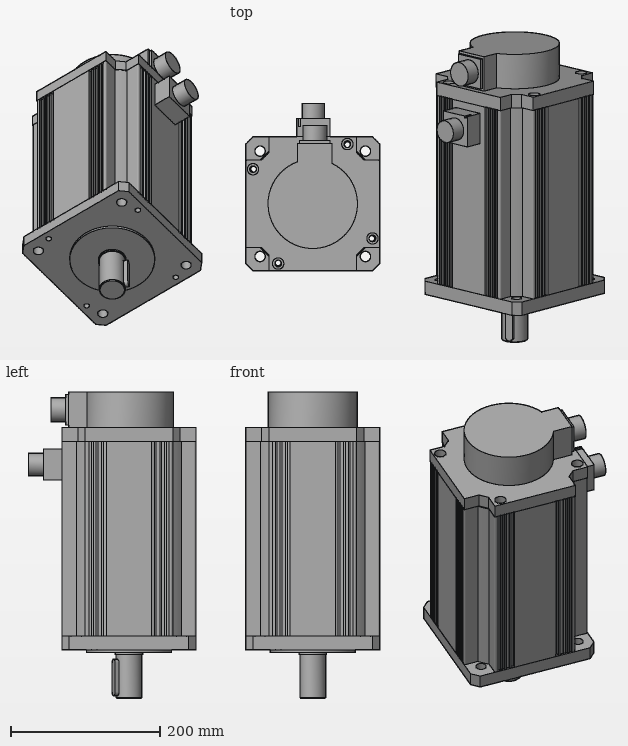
import cadquery as cq
import math


OVERALL_LENGTH = 411.0
FRAME_WIDTH = 180.0
HALF_WIDTH = FRAME_WIDTH / 2

SHAFT_REACH = 65.0
FLANGE_THICKNESS = 18.5
REAR_PLATE_THICKNESS = 18.5
COVER_HEIGHT = 47.5
COVER_TOP = OVERALL_LENGTH - SHAFT_REACH
REAR_PLATE_TOP = COVER_TOP - COVER_HEIGHT
HOUSING_TOP = REAR_PLATE_TOP - REAR_PLATE_THICKNESS
HOUSING_LENGTH = HOUSING_TOP - FLANGE_THICKNESS

CORNER_CHAMFER = 10.0
MOUNTING_HOLE_DIAMETER = 13.5
MOUNTING_HOLE_OFFSET = 70.5
PILOT_DIAMETER = 114.3
PILOT_HEIGHT = 3.5

NOTCH_INNER = 58.8
REAR_NOTCH_CHAMFER = 10.0
HOUSING_CORE_RADIUS = 91.5
NOTCH_EDGE_FILLET = 2.5

PANEL_GROOVE = (30.5, 34.0)
PANEL_GROOVE_DEPTH = 5.0
COOLING_GROOVES = [(36.5, 41.5), (44.0, 47.5), (50.0, 54.0)]
GROOVE_DEPTH = 3.0

SCREW_ALONG_SIDE = 46.5
REAR_SCREW_OFFSET = 80.0
FRONT_SCREW_OFFSET = 79.5
REAR_SCREW_DIAMETER = 9.0
FRONT_SCREW_DIAMETER = 7.5
SCREW_HEAD_DIAMETER = 15.2
SCREW_HEAD_DEPTH = 10.5

COVER_RADIUS = 60.0
COVER_NECK_WIDTH = 46.0
COVER_NECK_END = 81.0
ENCODER_CONNECTOR_X = 3.0
ENCODER_CONNECTOR_Z = REAR_PLATE_TOP + COVER_HEIGHT / 2
ENCODER_FOOT_SIZE = 41.0
ENCODER_FOOT_THICKNESS = 4.0
ENCODER_PLUG_DIAMETER = 32.5
ENCODER_PLUG_END = 105.0

POWER_CONNECTOR_X = 1.0
POWER_CONNECTOR_Z = 248.5
POWER_BOX_WIDTH = 45.0
POWER_BOX_HEIGHT = 42.0
POWER_BOX_DEPTH = 24.5
POWER_PLUG_DIAMETER = 30.5
POWER_PLUG_END = 135.0
POWER_SLOT_WIDTH = 3.0
POWER_SLOT_LENGTH = 10.5
POWER_SLOT_DEPTH = 2.5
POWER_SLOT_INSET = 2.5

SHAFT_DIAMETER = 35.0
SHAFT_CHAMFER = 1.2
COLLAR_DIAMETER = 37.5
COLLAR_BOTTOM = -6.0
KEY_WIDTH = 10.3
KEY_TOP_Z = -12.5
KEY_BOTTOM_Z = -61.5
KEY_INNER_RADIUS = 12.7
KEY_OUTER_RADIUS = 22.5
KEY_ANGLE = 24.0


def square_prism(bottom, height):
    """Square block of the frame width, centred on the shaft axis."""
    return cq.Workplane("XY").workplane(offset=bottom).rect(FRAME_WIDTH, FRAME_WIDTH).extrude(height)


def screw_holes(offset, diameter, bottom, top):
    """Four vertical cylinders, turned by a quarter about the shaft axis from one to the next."""
    radius = math.hypot(SCREW_ALONG_SIDE, offset)
    first_angle = math.degrees(math.atan2(offset, SCREW_ALONG_SIDE))
    return (
        cq.Workplane("XY")
        .workplane(offset=bottom)
        .polarArray(radius, first_angle, 360, 4)
        .circle(diameter / 2)
        .extrude(top - bottom)
    )


def corner_notches(bottom, height):
    """Four square columns that cover the corners outside the notch walls."""
    notch_size = HALF_WIDTH - NOTCH_INNER
    spacing = HALF_WIDTH + NOTCH_INNER
    return (
        cq.Workplane("XY")
        .workplane(offset=bottom)
        .rarray(spacing, spacing, 2, 2)
        .rect(notch_size, notch_size)
        .extrude(height)
    )


def make_flange():
    spacing = 2 * MOUNTING_HOLE_OFFSET
    flange = square_prism(0, FLANGE_THICKNESS).edges("|Z").chamfer(CORNER_CHAMFER)
    pilot = (
        cq.Workplane("XY").workplane(offset=-PILOT_HEIGHT).circle(PILOT_DIAMETER / 2).extrude(PILOT_HEIGHT)
    )
    mounting_holes = (
        cq.Workplane("XY")
        .rarray(spacing, spacing, 2, 2)
        .circle(MOUNTING_HOLE_DIAMETER / 2)
        .extrude(FLANGE_THICKNESS)
    )
    screws = screw_holes(FRONT_SCREW_OFFSET, FRONT_SCREW_DIAMETER, 0, FLANGE_THICKNESS)
    return flange.union(pilot).cut(mounting_holes).cut(screws)


def groove_pair(inner, outer, depth):
    """Two vertical grooves in the +Y side, mirrored about its middle."""
    return (
        cq.Workplane("XY")
        .workplane(offset=FLANGE_THICKNESS)
        .center(0, HALF_WIDTH - depth / 2)
        .rarray(inner + outer, 4, 2, 1)
        .rect(outer - inner, depth)
        .extrude(HOUSING_LENGTH)
    )


def side_grooves():
    """All the grooves of the +Y side."""
    grooves = groove_pair(*PANEL_GROOVE, PANEL_GROOVE_DEPTH)
    for inner, outer in COOLING_GROOVES:
        grooves = grooves.union(groove_pair(inner, outer, GROOVE_DEPTH))
    return grooves


def make_housing():
    block = square_prism(FLANGE_THICKNESS, HOUSING_LENGTH)
    housing = block.cut(corner_notches(FLANGE_THICKNESS, HOUSING_LENGTH))
    for side in (">X", "<X", ">Y", "<Y"):
        housing = housing.edges(f"|Z and {side}").fillet(NOTCH_EDGE_FILLET)
    grooves = side_grooves()
    for quarter in range(4):
        housing = housing.cut(grooves.rotate((0, 0, 0), (0, 0, 1), 90 * quarter))
    core = (
        cq.Workplane("XY")
        .workplane(offset=FLANGE_THICKNESS)
        .circle(HOUSING_CORE_RADIUS)
        .extrude(HOUSING_LENGTH)
        .intersect(block)
    )
    screws = screw_holes(FRONT_SCREW_OFFSET, FRONT_SCREW_DIAMETER, FLANGE_THICKNESS, HOUSING_TOP)
    return housing.union(core).cut(screws)


def make_rear_plate():
    plate = square_prism(HOUSING_TOP, REAR_PLATE_THICKNESS)
    notches = corner_notches(HOUSING_TOP, REAR_PLATE_THICKNESS)
    fill_reach = 2 * NOTCH_INNER + REAR_NOTCH_CHAMFER
    diamond = (
        cq.Workplane("XY")
        .workplane(offset=HOUSING_TOP)
        .polyline([(fill_reach, 0), (0, fill_reach), (-fill_reach, 0), (0, -fill_reach)])
        .close()
        .extrude(REAR_PLATE_THICKNESS)
    )
    screws = screw_holes(REAR_SCREW_OFFSET, REAR_SCREW_DIAMETER, HOUSING_TOP, REAR_PLATE_TOP)
    head_floor = REAR_PLATE_TOP - SCREW_HEAD_DEPTH
    heads = screw_holes(REAR_SCREW_OFFSET, SCREW_HEAD_DIAMETER, head_floor, REAR_PLATE_TOP)
    return plate.cut(notches.cut(diamond)).cut(screws).cut(heads)


def make_encoder_cover():
    base = cq.Workplane("XY").workplane(offset=REAR_PLATE_TOP)
    drum = base.circle(COVER_RADIUS).extrude(COVER_HEIGHT)
    neck = (
        base.center(ENCODER_CONNECTOR_X, COVER_NECK_END / 2)
        .rect(COVER_NECK_WIDTH, COVER_NECK_END)
        .extrude(COVER_HEIGHT)
    )
    return drum.union(neck)


def plane_facing_back(x, y, z):
    """Workplane whose extrusions run toward +Y, with its own x axis along -X and y axis along Z."""
    return cq.Workplane(cq.Plane(origin=(x, y, z), xDir=(-1, 0, 0), normal=(0, 1, 0)))


def make_encoder_connector():
    foot = (
        plane_facing_back(ENCODER_CONNECTOR_X, COVER_NECK_END, ENCODER_CONNECTOR_Z)
        .rect(ENCODER_FOOT_SIZE, ENCODER_FOOT_SIZE)
        .extrude(ENCODER_FOOT_THICKNESS)
    )
    plug_length = ENCODER_PLUG_END - COVER_NECK_END - ENCODER_FOOT_THICKNESS
    return foot.faces(">Y").workplane().circle(ENCODER_PLUG_DIAMETER / 2).extrude(plug_length)


def make_power_connector():
    box = (
        plane_facing_back(POWER_CONNECTOR_X, HALF_WIDTH, POWER_CONNECTOR_Z)
        .rect(POWER_BOX_WIDTH, POWER_BOX_HEIGHT)
        .extrude(POWER_BOX_DEPTH)
    )
    plug_length = POWER_PLUG_END - HALF_WIDTH - POWER_BOX_DEPTH
    connector = box.faces(">Y").workplane().circle(POWER_PLUG_DIAMETER / 2).extrude(plug_length)
    slot_corner = (
        POWER_CONNECTOR_X - POWER_BOX_WIDTH / 2 + POWER_SLOT_INSET,
        HALF_WIDTH + POWER_BOX_DEPTH - POWER_SLOT_LENGTH,
        POWER_CONNECTOR_Z + POWER_BOX_HEIGHT / 2 - POWER_SLOT_DEPTH,
    )
    slot = cq.Workplane("XY").box(POWER_SLOT_WIDTH, POWER_SLOT_LENGTH, POWER_SLOT_DEPTH, centered=False)
    return connector.cut(slot.translate(slot_corner))


def make_key():
    middle_z = (KEY_TOP_Z + KEY_BOTTOM_Z) / 2
    key = (
        plane_facing_back(0, KEY_INNER_RADIUS, middle_z)
        .slot2D(KEY_TOP_Z - KEY_BOTTOM_Z, KEY_WIDTH, 90)
        .extrude(KEY_OUTER_RADIUS - KEY_INNER_RADIUS)
    )
    return key.rotate((0, 0, 0), (0, 0, 1), KEY_ANGLE)


def make_shaft(key):
    shaft = (
        cq.Workplane("XY")
        .workplane(offset=-SHAFT_REACH)
        .circle(SHAFT_DIAMETER / 2)
        .extrude(SHAFT_REACH - PILOT_HEIGHT)
        .faces("<Z")
        .chamfer(SHAFT_CHAMFER)
    )
    collar = (
        cq.Workplane("XY")
        .workplane(offset=COLLAR_BOTTOM)
        .circle(COLLAR_DIAMETER / 2)
        .extrude(-PILOT_HEIGHT - COLLAR_BOTTOM)
    )
    return shaft.union(collar).cut(key)


flange = make_flange()
housing = make_housing()
rear_plate = make_rear_plate()
encoder_cover = make_encoder_cover()
encoder_connector = make_encoder_connector()
power_connector = make_power_connector()
key = make_key()
shaft = make_shaft(key)

result = cq.Compound.makeCompound(
    [
        flange.val(),
        housing.val(),
        rear_plate.val(),
        encoder_cover.val(),
        encoder_connector.val(),
        power_connector.val(),
        shaft.val(),
        key.val(),
    ]
)